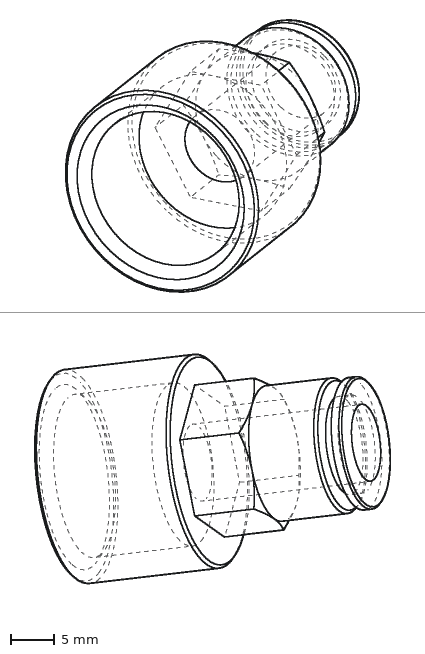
import cadquery as cq
import math

length = 36.55
socket_end = 16.95
hex_end = 25.07
sleeve_end = 33.6
crown_end = 33.8
collar_start = 35.35

socket_radius = 12.5
hex_across_flats = 15.85
sleeve_radius = hex_across_flats / 2
neck_radius = 5.75
collar_radius = 7.75
edge_chamfer = 0.35
collar_chamfer = 0.25
hex_chamfer_angle = 30.0

bore_radius = 9.55
mouth_chamfer = 1.28
bore_depth = 13.6
bore_floor_end = 15.42
passage_radius = 4.5


def cylinder(radius, start, end):
    """Solid cylinder about the Y axis between two stations."""
    disc = cq.Workplane("XZ", origin=(0, start, 0)).circle(radius)
    return disc.extrude(start - end)


def hexagon():
    """Wrench section with corners on X and its far corners turned off by a cone."""
    corner_radius = hex_across_flats / 2 / math.cos(math.radians(30))
    prism = (
        cq.Workplane("XZ", origin=(0, socket_end, 0))
        .polygon(6, 2 * corner_radius)
        .extrude(socket_end - hex_end)
    )
    cone_drop = (socket_radius - sleeve_radius) * math.tan(math.radians(hex_chamfer_angle))
    envelope = (
        cq.Workplane("XY")
        .moveTo(0, socket_end)
        .lineTo(socket_radius, socket_end)
        .lineTo(socket_radius, hex_end - cone_drop)
        .lineTo(sleeve_radius, hex_end)
        .lineTo(0, hex_end)
        .close()
        .revolve(360, (0, 0, 0), (0, 1, 0))
    )
    return prism.intersect(envelope)


def cavity():
    """Chamfered socket bore with a conical floor leading into the through passage."""
    return (
        cq.Workplane("XY")
        .lineTo(bore_radius + mouth_chamfer, 0)
        .lineTo(bore_radius, mouth_chamfer)
        .lineTo(bore_radius, bore_depth)
        .lineTo(passage_radius, bore_floor_end)
        .lineTo(passage_radius, length)
        .lineTo(0, length)
        .close()
        .revolve(360, (0, 0, 0), (0, 1, 0))
    )


def crown():
    """Shallow cone rising from the sleeve's chamfered rim to the neck."""
    return (
        cq.Workplane("XY")
        .moveTo(0, sleeve_end)
        .lineTo(sleeve_radius - edge_chamfer, sleeve_end)
        .lineTo(neck_radius, crown_end)
        .lineTo(0, crown_end)
        .close()
        .revolve(360, (0, 0, 0), (0, 1, 0))
    )


socket = cylinder(socket_radius, 0, socket_end).faces("<Y or >Y").chamfer(edge_chamfer)
sleeve = cylinder(sleeve_radius, hex_end, sleeve_end).faces(">Y").chamfer(edge_chamfer)
neck = cylinder(neck_radius, sleeve_end, collar_start)
collar = cylinder(collar_radius, collar_start, length).faces(">Y").chamfer(collar_chamfer)

body = socket.union(hexagon()).union(sleeve).union(crown()).union(neck).union(collar)
result = body.cut(cavity()).translate((0, -length / 2, 0))